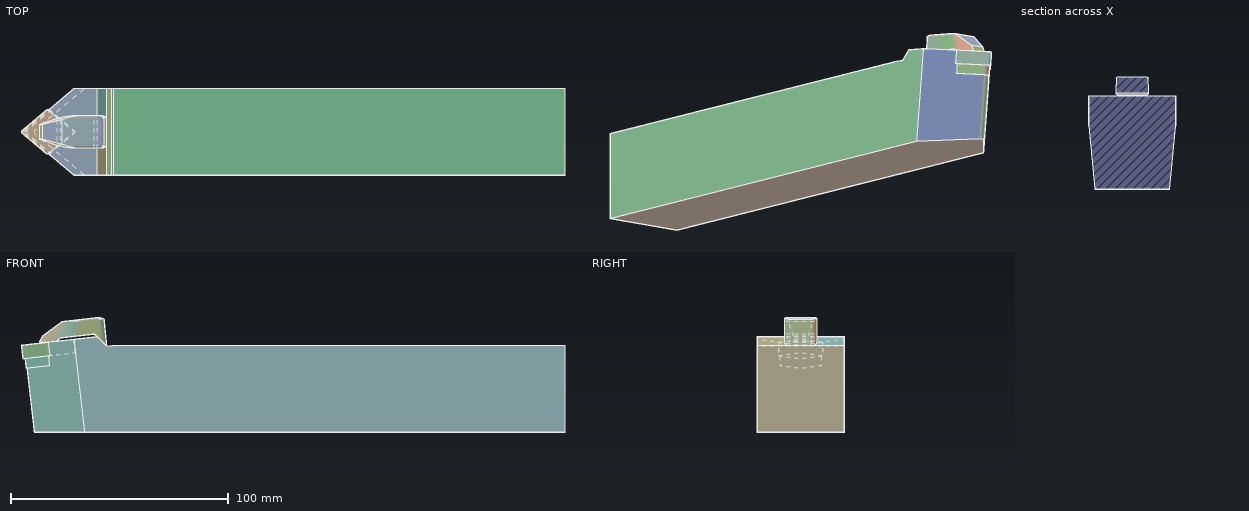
import cadquery as cq
import math

LENGTH = 249.5
WIDTH = 40.0
SHANK_HEIGHT = 40.0
HALF_WIDTH = WIDTH / 2

SEAT_TILT = 6.5
SEAT_SLOPE = math.tan(math.radians(SEAT_TILT))
RIDGE_X = 34.7
RAMP_END_X = 39.2
RELIEF_DEPTH = 0.2
RELIEF_Z = SHANK_HEIGHT - RELIEF_DEPTH
RELIEF_END_X = 41.5
RELIEF_STEP_END_X = 42.2

POINT_HALF_ANGLE = 40.0
INSERT_SIDE = 16.2
INSERT_THICKNESS = 6.2
INSERT_CORNER_RADIUS = 0.7
SHIM_THICKNESS = 4.5
SHIM_INSET = 0.37
SHIM_CORNER_RADIUS = 1.5
FLANK_INSET = 0.62
HEAD_NOSE_RADIUS = 1.5

CLAMP_HEIGHT = 52.7
CLAMP_WIDTH = 15.0
CLAMP_NOSE_X = 8.2
CLAMP_NOSE_TOP_X = 9.7
CLAMP_NOSE_TOP_Z = 44.2
CLAMP_CREST_X = 18.7
CLAMP_BACK_X = 38.0
CLAMP_NOSE_LIFT = 0.5
CLAMP_PAD_START_X = 11.2
CLAMP_PAD_END_X = 16.5
CLAMP_ARCH_START_X = 18.0
CLAMP_ARCH_END_X = 33.5
CLAMP_FOOT_X = 36.5
CLAMP_GAP = 1.2
CLAMP_CREST_RADIUS = 5.0
OUTLINE_MARGIN = 0.5
CHEEK_END_X = 19.2
CHEEK_LEAN = 0.41
CHEEK_SLOPE = 0.36
CHEEK_BLEND_RADIUS = 20.0
CLAMP_EDGE_RADIUS = 1.0
CLAMP_CORNER_RADIUS = 2.2

tilt = math.radians(SEAT_TILT)
SEAT_PLANE = cq.Plane(
    origin=(0, 0, SHANK_HEIGHT),
    xDir=(math.cos(tilt), 0, math.sin(tilt)),
    normal=(-math.sin(tilt), 0, math.cos(tilt)),
)
half_angle = math.radians(POINT_HALF_ANGLE)
NOSE_SETBACK = 1 / math.sin(half_angle) - 1
SHARP_TIP_X = -INSERT_CORNER_RADIUS * NOSE_SETBACK


def seat_z(x):
    """Height of the seat at x."""
    return SHANK_HEIGHT + x * SEAT_SLOPE


def ramp_z(x):
    """Height of the ramp behind the ridge at x."""
    fraction = (x - RIDGE_X) / (RAMP_END_X - RIDGE_X)
    return seat_z(RIDGE_X) + fraction * (RELIEF_Z - seat_z(RIDGE_X))


def rhombic_plate(inset, top_depth, thickness, corner_radius):
    """80 degree rhombic plate below the seat plane, inset all round from the insert outline."""
    half_length = INSERT_SIDE * math.cos(half_angle)
    centre_x = SHARP_TIP_X + half_length
    inset_length = half_length - inset / math.sin(half_angle)
    inset_width = inset_length * math.tan(half_angle)
    return (
        cq.Workplane(SEAT_PLANE)
        .workplane(offset=-top_depth)
        .center(centre_x, 0)
        .polyline([(-inset_length, 0), (0, -inset_width), (inset_length, 0), (0, inset_width)])
        .close()
        .extrude(-thickness)
        .edges(cq.selectors.ParallelDirSelector(SEAT_PLANE.zDir))
        .fillet(corner_radius)
    )


def make_shank_and_head():
    """Long side profile, cut to the pointed head by flanks square to the seat."""
    front_x = -HALF_WIDTH
    body = (
        cq.Workplane("XZ")
        .moveTo(front_x, 0)
        .lineTo(LENGTH, 0)
        .lineTo(LENGTH, SHANK_HEIGHT)
        .lineTo(RELIEF_STEP_END_X, SHANK_HEIGHT)
        .lineTo(RELIEF_END_X, RELIEF_Z)
        .lineTo(RAMP_END_X, RELIEF_Z)
        .lineTo(RIDGE_X, seat_z(RIDGE_X))
        .lineTo(front_x, seat_z(front_x))
        .close()
        .extrude(HALF_WIDTH, both=True)
    )
    tip_x = SHARP_TIP_X + FLANK_INSET / math.sin(half_angle)
    shoulder_x = tip_x + HALF_WIDTH / math.tan(half_angle)
    far_x = LENGTH + WIDTH
    outline = (
        cq.Workplane(SEAT_PLANE)
        .polyline([
            (tip_x, 0),
            (shoulder_x, -HALF_WIDTH),
            (far_x, -HALF_WIDTH),
            (far_x, HALF_WIDTH),
            (shoulder_x, HALF_WIDTH),
        ])
        .close()
        .extrude(LENGTH, both=True)
    )
    nose = cq.selectors.NearestToPointSelector(SEAT_PLANE.toWorldCoords((tip_x, 0, 0)).toTuple())
    outline = outline.edges(nose).fillet(HEAD_NOSE_RADIUS)
    return body.intersect(outline)


def clamp_profile():
    """Side profile of the clamp: pad on the insert, arched underside, foot on the ramp."""
    peak_x = RIDGE_X + CLAMP_CREST_RADIUS * math.sin(tilt)
    centre_z = CLAMP_HEIGHT - CLAMP_CREST_RADIUS
    crest_end_z = centre_z + CLAMP_CREST_RADIUS * math.cos(tilt)
    crest_back_z = centre_z + math.sqrt(CLAMP_CREST_RADIUS**2 - (RAMP_END_X - peak_x) ** 2)
    crest_start_z = crest_end_z - (RIDGE_X - CLAMP_CREST_X) * SEAT_SLOPE
    half_width = CLAMP_WIDTH / 2
    profile = (
        cq.Workplane("XZ")
        .moveTo(CLAMP_NOSE_X, seat_z(CLAMP_NOSE_X) + CLAMP_NOSE_LIFT)
        .lineTo(CLAMP_PAD_START_X, seat_z(CLAMP_PAD_START_X))
        .lineTo(CLAMP_PAD_END_X, seat_z(CLAMP_PAD_END_X))
        .lineTo(CLAMP_ARCH_START_X, seat_z(CLAMP_ARCH_START_X) + CLAMP_GAP)
        .lineTo(CLAMP_ARCH_END_X, seat_z(CLAMP_ARCH_END_X) + CLAMP_GAP)
        .lineTo(CLAMP_FOOT_X, ramp_z(CLAMP_FOOT_X))
        .lineTo(RAMP_END_X, RELIEF_Z)
        .lineTo(RAMP_END_X, crest_back_z)
        .threePointArc((peak_x, CLAMP_HEIGHT), (RIDGE_X, crest_end_z))
        .lineTo(CLAMP_CREST_X, crest_start_z)
        .lineTo(CLAMP_NOSE_TOP_X, CLAMP_NOSE_TOP_Z)
        .close()
        .extrude(half_width, both=True)
    )
    for y in (-half_width, half_width):
        crest_middle = ((CLAMP_CREST_X + RIDGE_X) / 2, y, (crest_start_z + crest_end_z) / 2)
        crest_edge = cq.selectors.NearestToPointSelector(crest_middle)
        profile = profile.edges(crest_edge).fillet(CLAMP_EDGE_RADIUS)
    return profile


def clamp_outline():
    """Plan shape of the clamp: inclined cheeks from nose to parallel sides, leaning back, round corners."""
    half_width = CLAMP_WIDTH / 2
    base_z = SHANK_HEIGHT - OUTLINE_MARGIN
    top_z = CLAMP_HEIGHT + OUTLINE_MARGIN
    front_x = CLAMP_NOSE_X - OUTLINE_MARGIN
    back_lean = (RAMP_END_X - CLAMP_BACK_X) / (CLAMP_HEIGHT - SHANK_HEIGHT)

    def section(z):
        cheek_end_x = CHEEK_END_X + (z - SHANK_HEIGHT) * CHEEK_LEAN
        back_x = RAMP_END_X - (z - SHANK_HEIGHT) * back_lean
        front_half_width = half_width - (cheek_end_x - front_x) * CHEEK_SLOPE
        return [
            (front_x, -front_half_width),
            (cheek_end_x, -half_width),
            (back_x, -half_width),
            (back_x, half_width),
            (cheek_end_x, half_width),
            (front_x, front_half_width),
        ]

    outline = (
        cq.Workplane("XY", origin=(0, 0, base_z))
        .polyline(section(base_z))
        .close()
        .workplane(offset=top_z - base_z)
        .polyline(section(top_z))
        .close()
        .loft(ruled=True)
    )
    mid_z = (base_z + top_z) / 2
    _, *side_edges, _ = section(mid_z)
    radii = (CHEEK_BLEND_RADIUS, CLAMP_CORNER_RADIUS, CLAMP_CORNER_RADIUS, CHEEK_BLEND_RADIUS)
    for (x, y), radius in zip(side_edges, radii):
        side_edge = cq.selectors.NearestToPointSelector((x, y, mid_z))
        outline = outline.edges(side_edge).fillet(radius)
    return outline


def make_clamp():
    """Clamp as its side profile trimmed to its plan shape."""
    return clamp_profile().intersect(clamp_outline())


insert = rhombic_plate(0, 0, INSERT_THICKNESS, INSERT_CORNER_RADIUS)
shim = rhombic_plate(SHIM_INSET, INSERT_THICKNESS, SHIM_THICKNESS, SHIM_CORNER_RADIUS)
holder = make_shank_and_head().union(shim).cut(insert).union(make_clamp())
result = cq.Compound.makeCompound([*holder.solids().vals(), *insert.solids().vals()])